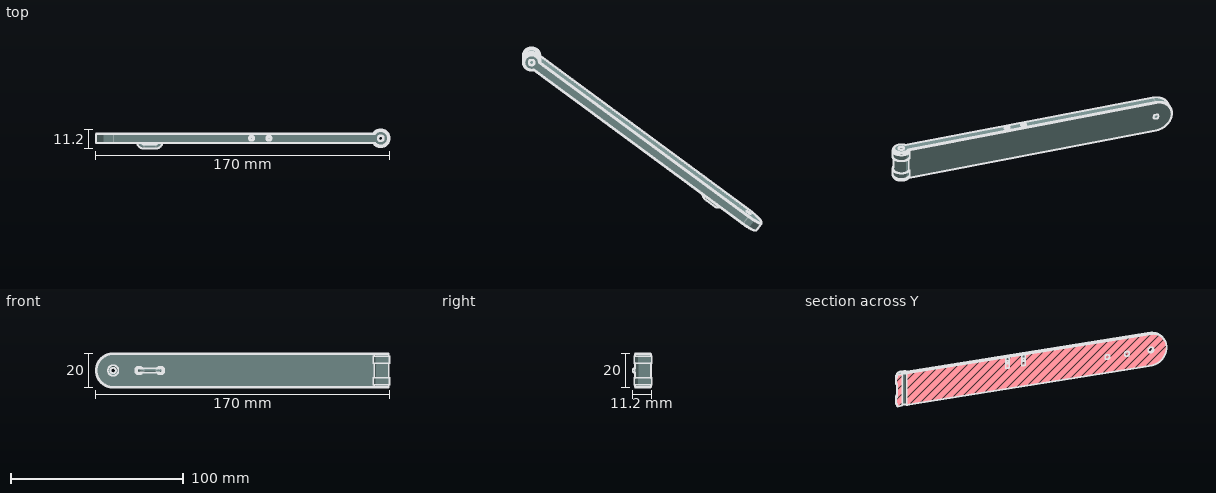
import cadquery as cq
import math

LENGTH = 170.0
WIDTH = 20.0
THICKNESS = 6.0
EDGE_CHAMFER = 0.5
HALF_WIDTH = WIDTH / 2
END_RADIUS = HALF_WIDTH
FRONT_Y = -THICKNESS / 2

COLLAR_DIAMETER = 10.4
COLLAR_LENGTH = 4.0
COLLAR_INSET = 1.7
BARREL_DIAMETER = 9.4
BARREL_X = LENGTH - END_RADIUS - COLLAR_DIAMETER / 2
PIN_HOLE_DIAMETER = 2.7
PIN_HOLE_MOUTH = 3.5

END_HOLE_DIAMETER = 3.0
END_HOLE_MOUTH = 6.1

WIRE_DIAMETER = 2.5
STAPLE_HEIGHT = 3.0
STAPLE_X = 15.0
STAPLE_SPAN = 12.4
LEG_XS = (STAPLE_X, STAPLE_X + STAPLE_SPAN)
LEG_DEPTH = 3.4
SOCKET_MOUTH = 4.6
SOCKET_CONE_DEPTH = (SOCKET_MOUTH - WIRE_DIAMETER) / 2
BEND_RADIUS = STAPLE_HEIGHT - WIRE_DIAMETER / 2 + SOCKET_CONE_DEPTH

SCREW_X = 80.0
SCREW_SPACING = 10.0
SCREW_XS = (SCREW_X, SCREW_X + SCREW_SPACING)
SCREW_DIAMETER = 2.0
SCREW_LENGTH = 4.2
SCREW_RECESS = 2.5
SCREW_HOLE_MOUTH = 3.0
DRIVE_DIAMETER = 1.5
DRIVE_DEPTH = 1.4
DRILL_POINT_ANGLE = 118

BACKWARD = cq.Vector(0, 1, 0)
UP = cq.Vector(0, 0, 1)
DOWN = cq.Vector(0, 0, -1)


def countersunk_hole(mouth_centre, direction, mouth_diameter, diameter, depth):
    """Cutter for a hole with a 90 degree countersink at its mouth."""
    cone_depth = (mouth_diameter - diameter) / 2
    cone = cq.Solid.makeCone(mouth_diameter / 2, diameter / 2, cone_depth, mouth_centre, direction)
    bore = cq.Solid.makeCylinder(diameter / 2, depth, mouth_centre, direction)
    return cone.fuse(bore)


def make_plate():
    """Flat strap with one round end and chamfered front and back edges."""
    return (
        cq.Workplane("XZ")
        .moveTo(BARREL_X, HALF_WIDTH)
        .lineTo(0, HALF_WIDTH)
        .threePointArc((-END_RADIUS, 0), (0, -HALF_WIDTH))
        .lineTo(BARREL_X, -HALF_WIDTH)
        .close()
        .extrude(THICKNESS / 2, both=True)
        .faces("<Y or >Y")
        .edges("not >X")
        .chamfer(EDGE_CHAMFER)
    )


def make_barrel():
    """Upright cylinder with chamfered ends and two collars."""
    barrel = (
        cq.Workplane("XY", origin=(BARREL_X, 0, 0))
        .circle(BARREL_DIAMETER / 2)
        .extrude(HALF_WIDTH, both=True)
        .faces("<Z or >Z")
        .chamfer(EDGE_CHAMFER)
    )
    upper_collar_z = HALF_WIDTH - COLLAR_INSET - COLLAR_LENGTH
    lower_collar_z = COLLAR_INSET - HALF_WIDTH
    for bottom_z in (upper_collar_z, lower_collar_z):
        collar = (
            cq.Workplane("XY", origin=(BARREL_X, 0, bottom_z))
            .circle(COLLAR_DIAMETER / 2)
            .extrude(COLLAR_LENGTH)
        )
        barrel = barrel.union(collar)
    return barrel


def strap_holes():
    """Cutters for every hole in the strap."""
    holes = [
        countersunk_hole(
            cq.Vector(0, FRONT_Y, 0), BACKWARD, END_HOLE_MOUTH, END_HOLE_DIAMETER, THICKNESS
        )
    ]
    for x in LEG_XS:
        mouth = cq.Vector(x, FRONT_Y, 0)
        holes.append(countersunk_hole(mouth, BACKWARD, SOCKET_MOUTH, WIRE_DIAMETER, LEG_DEPTH))
    for x in SCREW_XS:
        mouth = cq.Vector(x, 0, HALF_WIDTH)
        depth = SCREW_RECESS + SCREW_LENGTH
        holes.append(countersunk_hole(mouth, DOWN, SCREW_HOLE_MOUTH, SCREW_DIAMETER, depth))
    for z, inward in ((HALF_WIDTH, DOWN), (-HALF_WIDTH, UP)):
        mouth = cq.Vector(BARREL_X, 0, z)
        holes.append(countersunk_hole(mouth, inward, PIN_HOLE_MOUTH, PIN_HOLE_DIAMETER, WIDTH))
    return holes


def make_strap():
    strap = make_plate().union(make_barrel())
    for hole in strap_holes():
        strap = strap.cut(hole)
    return strap


def make_staple():
    """Round wire swept along two legs, two bends and a straight bridge."""
    left_x, right_x = LEG_XS
    tip_y = FRONT_Y + LEG_DEPTH
    bend_y = FRONT_Y + SOCKET_CONE_DEPTH
    bridge_y = bend_y - BEND_RADIUS
    mid_bend = BEND_RADIUS * (1 - math.sqrt(0.5))
    path = (
        cq.Workplane("XY")
        .moveTo(left_x, tip_y)
        .lineTo(left_x, bend_y)
        .threePointArc((left_x + mid_bend, bridge_y + mid_bend), (left_x + BEND_RADIUS, bridge_y))
        .lineTo(right_x - BEND_RADIUS, bridge_y)
        .threePointArc((right_x - mid_bend, bridge_y + mid_bend), (right_x, bend_y))
        .lineTo(right_x, tip_y)
    )
    return cq.Workplane("XZ", origin=(left_x, tip_y, 0)).circle(WIRE_DIAMETER / 2).sweep(path)


def make_set_screw(x):
    """Headless screw with a drive socket that ends in a drill point."""
    top = cq.Vector(x, 0, HALF_WIDTH - SCREW_RECESS)
    drive_radius = DRIVE_DIAMETER / 2
    point_depth = drive_radius / math.tan(math.radians(DRILL_POINT_ANGLE / 2))
    shank = cq.Solid.makeCylinder(SCREW_DIAMETER / 2, SCREW_LENGTH, top, DOWN)
    socket = cq.Solid.makeCylinder(drive_radius, DRIVE_DEPTH, top, DOWN)
    point = cq.Solid.makeCone(drive_radius, 0, point_depth, top + DOWN * DRIVE_DEPTH, DOWN)
    return cq.Workplane(obj=shank).cut(cq.Workplane(obj=socket)).cut(cq.Workplane(obj=point))


strap = make_strap()
staple = make_staple()
set_screws = [make_set_screw(x).val() for x in SCREW_XS]

result = cq.Compound.makeCompound([strap.val(), staple.val(), *set_screws])